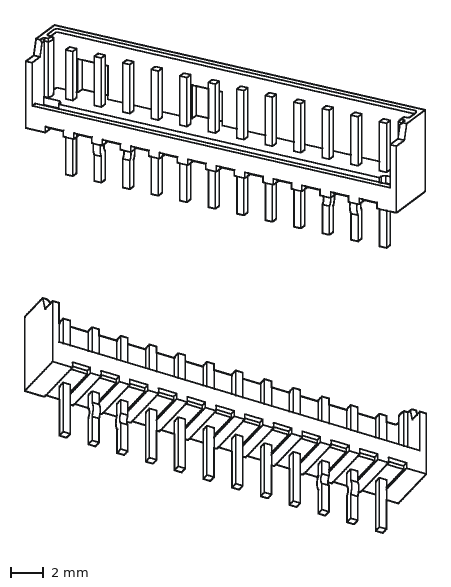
import cadquery as cq
import math

PIN_COUNT = 12
PITCH = 2.0
LENGTH = 26.0
DEPTH = 3.65
HEIGHT = 5.5
BACK_Y = 1.5
FRONT_Y = BACK_Y - DEPTH
HALF_LENGTH = LENGTH / 2

FLOOR_Z = 1.6
BACK_WALL = 0.55
END_WALL = 0.45
LIP = 0.4
INNER_BACK_Y = BACK_Y - BACK_WALL
INNER_LENGTH = LENGTH - 2 * END_WALL
RIM_CHAMFER = 0.15
CORNER_RADIUS = 0.1

SHOULDER_Z = 4.5
SLOPE_TOP_Y = BACK_Y - 2.35
SLOPE_BOTTOM_Y = BACK_Y - 2.65

RIB_REACH = 0.35
RIB_SIDE_REACH = 0.28
RIB_BACK_Y = BACK_Y - 1.4
RIB_FRONT_Y = BACK_Y - 2.1

TRENCH_DEPTH = 0.5
TRENCH_BACK_Y = SLOPE_BOTTOM_Y
TRENCH_END_BACK_Y = BACK_Y - 2.2
TRENCH_END_LENGTH = 1.3
TRENCH_CORNER_CHAMFER = 0.2

WINDOW_WIDTH = 2.1
WINDOW_TOP_Z = 3.85
WINDOW_GAPS = (0, 4)

SLOT_WIDTH = 1.25
SLOT_HEIGHT = 0.15
SLOT_MOUTH_HEIGHT = 0.4
SLOT_MOUTH_DEPTH = 0.4

PIN_SIZE = 0.5
PIN_TOP_Z = 4.9
PIN_BOTTOM_Z = -3.5
KINK_Z = -1.2
KINK_OFFSET = 0.15
KINK_OUTER_RADIUS = 1.0
KINK_INNER_RADIUS = KINK_OUTER_RADIUS - PIN_SIZE
KINKS = {1: -1, 2: 1, 9: 1, 10: -1}


def box(x0, x1, y0, y1, z0, z1):
    return cq.Workplane("XY").box(x1 - x0, y1 - y0, z1 - z0, centered=False).translate((x0, y0, z0))


def pin_x(index):
    return (index - (PIN_COUNT - 1) / 2) * PITCH


def end_profile_block():
    """Housing blank: the end-wall outline extruded over the full length."""
    outline = [
        (FRONT_Y, 0),
        (BACK_Y, 0),
        (BACK_Y, HEIGHT),
        (SLOPE_TOP_Y, HEIGHT),
        (SLOPE_BOTTOM_Y, SHOULDER_Z),
        (FRONT_Y, SHOULDER_Z),
    ]
    return cq.Workplane("YZ").polyline(outline).close().extrude(HALF_LENGTH, both=True)


def right_rib():
    wall_x = INNER_LENGTH / 2
    side_x = wall_x - RIB_SIDE_REACH
    crown = (wall_x - RIB_REACH, (RIB_BACK_Y + RIB_FRONT_Y) / 2)
    outline = (
        cq.Workplane("XY", origin=(0, 0, FLOOR_Z))
        .moveTo(wall_x, RIB_FRONT_Y)
        .lineTo(side_x, RIB_FRONT_Y)
        .threePointArc(crown, (side_x, RIB_BACK_Y))
        .lineTo(wall_x, RIB_BACK_Y)
        .close()
    )
    return outline.extrude(HEIGHT - FLOOR_Z)


def cavity():
    """Space inside the walls, less the key ribs."""
    half_inner = INNER_LENGTH / 2
    space = box(-half_inner, half_inner, FRONT_Y, INNER_BACK_Y, FLOOR_Z, HEIGHT)
    space = space.edges("|Z and >Y").fillet(CORNER_RADIUS)
    rib = right_rib()
    return space.cut(rib).cut(rib.mirror("YZ"))


def rim_chamfer(space):
    """Flared top layer of the cavity that bevels the rim and the rib tops."""
    section = space.faces(">Z").wires().val().translate(cq.Vector(0, 0, -RIM_CHAMFER))
    flare_angle = -math.degrees(math.atan(1))
    return cq.Workplane("XY").add(section).toPending().extrude(RIM_CHAMFER, taper=flare_angle)


def trench():
    half_inner = INNER_LENGTH / 2
    half_step = half_inner - TRENCH_END_LENGTH
    front_y = FRONT_Y + LIP
    outline = [
        (-half_inner, front_y),
        (half_inner, front_y),
        (half_inner, TRENCH_END_BACK_Y),
        (half_step + TRENCH_CORNER_CHAMFER, TRENCH_END_BACK_Y),
        (half_step, TRENCH_END_BACK_Y - TRENCH_CORNER_CHAMFER),
        (half_step, TRENCH_BACK_Y),
        (-half_step, TRENCH_BACK_Y),
        (-half_step, TRENCH_END_BACK_Y - TRENCH_CORNER_CHAMFER),
        (-half_step - TRENCH_CORNER_CHAMFER, TRENCH_END_BACK_Y),
        (-half_inner, TRENCH_END_BACK_Y),
    ]
    base = cq.Workplane("XY").workplane(offset=FLOOR_Z - TRENCH_DEPTH)
    return base.polyline(outline).close().extrude(TRENCH_DEPTH)


def window(gap_index):
    x0 = pin_x(gap_index) + (PITCH - WINDOW_WIDTH) / 2
    return box(x0, x0 + WINDOW_WIDTH, INNER_BACK_Y, BACK_Y, FLOOR_Z, WINDOW_TOP_Z)


def underside_slot(x):
    x0 = x - SLOT_WIDTH / 2
    x1 = x + SLOT_WIDTH / 2
    slot = box(x0, x1, FRONT_Y, BACK_Y, 0, SLOT_HEIGHT)
    return slot.union(box(x0, x1, FRONT_Y, FRONT_Y + SLOT_MOUTH_DEPTH, 0, SLOT_MOUTH_HEIGHT))


def half_chord(radius):
    """Half the chord of an arc whose rise is the kink offset."""
    return math.sqrt(radius**2 - (radius - KINK_OFFSET) ** 2)


def pin(index):
    half = PIN_SIZE / 2
    side = KINKS.get(index, 0)
    x = pin_x(index)
    if side == 0:
        return box(x - half, x + half, -half, half, PIN_BOTTOM_Z, PIN_TOP_Z)
    outer = half_chord(KINK_OUTER_RADIUS)
    inner = half_chord(KINK_INNER_RADIUS)
    outer_y = side * half
    inner_y = -side * half
    shift = side * KINK_OFFSET
    outline = (
        cq.Workplane("YZ", origin=(x, 0, 0))
        .moveTo(outer_y, PIN_TOP_Z)
        .lineTo(outer_y, KINK_Z + outer)
        .threePointArc((outer_y + shift, KINK_Z), (outer_y, KINK_Z - outer))
        .lineTo(outer_y, PIN_BOTTOM_Z)
        .lineTo(inner_y, PIN_BOTTOM_Z)
        .lineTo(inner_y, KINK_Z - inner)
        .threePointArc((inner_y + shift, KINK_Z), (inner_y, KINK_Z + inner))
        .lineTo(inner_y, PIN_TOP_Z)
        .close()
    )
    return outline.extrude(half, both=True)


def housing():
    space = cavity()
    body = end_profile_block().cut(space).cut(rim_chamfer(space)).cut(trench())
    for gap_index in WINDOW_GAPS:
        body = body.cut(window(gap_index))
    for index in range(PIN_COUNT):
        body = body.cut(underside_slot(pin_x(index)))
    return body


result = housing()
for pin_index in range(PIN_COUNT):
    result = result.union(pin(pin_index))